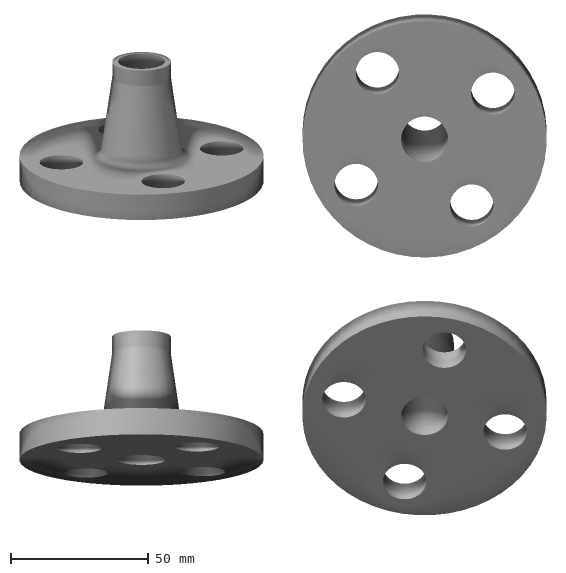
import cadquery as cq

flange_diameter = 88.9
flange_thickness = 9.8

total_height = 45.95
pipe_diameter = 21.3
bore_diameter = 17.1
pipe_end_length = 5.95
hub_base_diameter = 30.2
hub_fillet_radius = 2.9

bolt_circle_diameter = 60.4
bolt_hole_diameter = 15.8
bolt_hole_count = 4

selection_margin = 0.9


def make_flange_plate():
    return cq.Workplane("XY").circle(flange_diameter / 2).extrude(flange_thickness)


def make_neck():
    """Conical hub with a short straight pipe end, standing on the plate."""
    taper_top = total_height - pipe_end_length
    return (
        cq.Workplane("XZ")
        .moveTo(0, flange_thickness)
        .lineTo(hub_base_diameter / 2, flange_thickness)
        .lineTo(pipe_diameter / 2, taper_top)
        .lineTo(pipe_diameter / 2, total_height)
        .lineTo(0, total_height)
        .close()
        .revolve(360, (0, 0, 0), (0, 1, 0))
    )


def fillet_hub_base(body):
    """Round the corner where the cone meets the plate."""
    reach = hub_base_diameter / 2 + selection_margin
    corner_box = cq.selectors.BoxSelector(
        (-reach, -reach, flange_thickness - selection_margin),
        (reach, reach, flange_thickness + selection_margin),
        boundingbox=True,
    )
    return body.edges(corner_box).fillet(hub_fillet_radius)


def cut_bore(body):
    bore = cq.Workplane("XY").circle(bore_diameter / 2).extrude(total_height)
    return body.cut(bore)


def cut_bolt_holes(body):
    holes = (
        cq.Workplane("XY")
        .polarArray(bolt_circle_diameter / 2, 0, 360, bolt_hole_count)
        .circle(bolt_hole_diameter / 2)
        .extrude(flange_thickness)
    )
    return body.cut(holes)


body = make_flange_plate().union(make_neck())
body = fillet_hub_base(body)
body = cut_bore(body)
result = cut_bolt_holes(body)